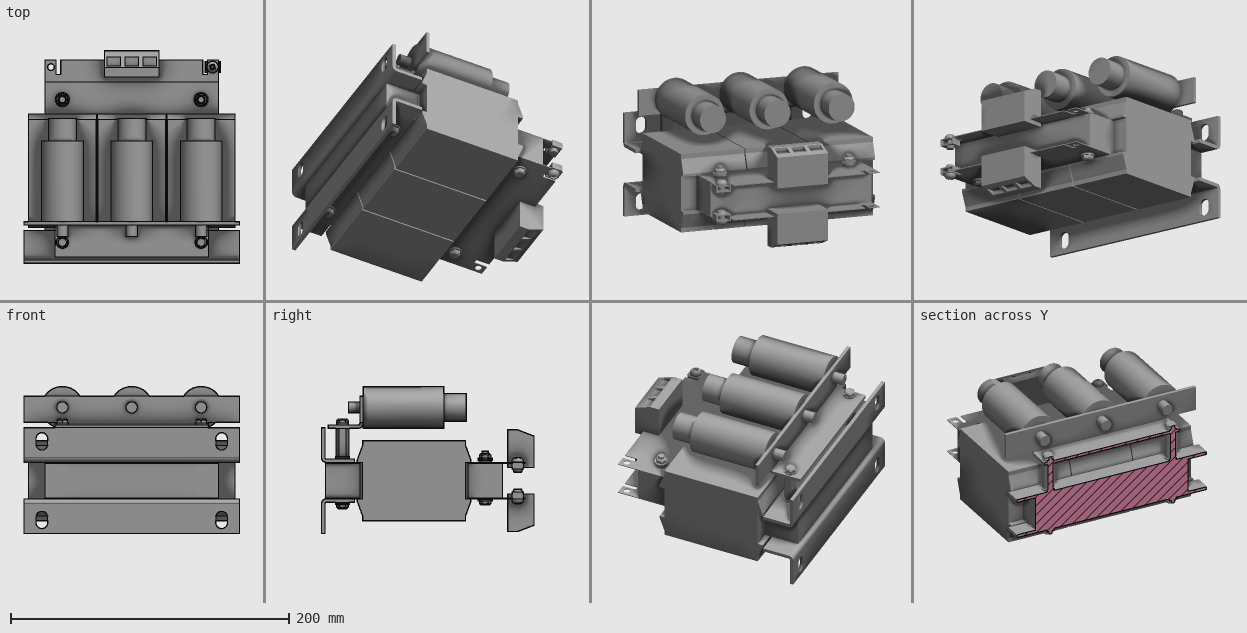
import cadquery as cq
import math


phase_pitch = 49.9
phase_places = (-phase_pitch, 0, phase_pitch)
coil_width = 49.0
coil_half_height = 28.8
coil_shoulder_height = 25.4
coil_half_length = 37.0
flange_half_length = 40.9
flange_low_height = 14.9
core_half_width = 62.3
core_half_length = 63.7
core_half_height = 12.4
channel_skin = 0.6
channel_outer = core_half_height + channel_skin
channel_web = 1.7
channel_front_setback = 0.5
channel_overlap = 0.2
channel_width = 2 * (core_half_width + channel_overlap)

tongue_end = 79.7
slit_width = 3.3
slit_depth = 10.4
slit_place = 52.7
earth_place = 58.1
earth_y = 74.5
earth_hole_diameter = 4.6

clamp_width = 11.2
clamp_length = 8.0
clamp_sheet = 1.0
clamp_bottom = 8.2
clamp_top = 13.3
screw_head_radius = 4.2
screw_head_height = 3.7
screw_crown_radius = 1.9
recess_length = 4.3
recess_width = 1.1
recess_depth = 1.5
recess_turn = 60
screw_tip_radius = 3.5
screw_tip_end_radius = 2.6
screw_tip_length = 2.2

terminal_count = 3
terminal_width = 39.5
terminal_back = 86.3
terminal_front = 67.3
terminal_bottom = 9.5
terminal_top = 36.7
terminal_back_top = 32.1
terminal_ridge = 74.2
terminal_pitch = 12.9
window_width = 9.8
window_front = 75.2
window_back = 82.0
window_floor = 33.3

bar_length = 155.0
bar_thickness = 2.6
bar_front = 66.6
bar_back_edge = 42.8
bar_reach = 38.1
bend_inner_radius = 1.0
bar_slot_place = 64.6
bar_slot_height = 28.2
bar_slot_length = 12.4
bar_slot_width = 8.2

cap_radius = 15.0
cap_height = 52.7
cap_front = 36.6
cap_back = 21.4
cap_neck_radius = 10.0
cap_neck_length = 16.3
cap_stud_radius = 4.0
bracket_thickness = 2.5
bracket_stud_end = 47.3
bracket_top = 60.8
bracket_bottom = 37.7
bracket_wing_bottom = 41.8
bracket_front_edge = 61.8
bracket_flange_width = 110.0

front_bolt_y = -51.5
rear_bolt_y = 51.2
washer_radius = 5.1
washer_seat_radius = 4.5
washer_seat = 0.6
washer_height = 1.5
hex_corner_diameter = 8.5
hex_head_height = 3.1
hex_cone_height = 1.4
hex_tip_radius = 3.0
collar_radius = 4.3
collar_height = 1.2
standoff_corner_diameter = 9.5
tooth_count = 14
tooth_width = 1.0
tooth_length = 0.5
tooth_washer_thickness = 1.9
rear_stud_radius = 2.25
rear_stud_length = 1.7


def block(x_size, y_low, y_high, z_low, z_high):
    """Box centred on X = 0 between the given Y and Z limits."""
    box = cq.Workplane("XY").box(x_size, y_high - y_low, z_high - z_low)
    return box.translate((0, (y_low + y_high) / 2, (z_low + z_high) / 2))


def rod_y(radius, y_low, y_high):
    """Cylinder along Y on the axis X = Z = 0."""
    return cq.Workplane("XZ", origin=(0, y_low, 0)).circle(radius).extrude(y_low - y_high)


def rod_z(radius, z_low, z_high):
    """Cylinder along Z on the axis X = Y = 0."""
    return cq.Workplane("XY", origin=(0, 0, z_low)).circle(radius).extrude(z_high - z_low)


def extrude_across(profile, width):
    """Extrude a YZ profile along X, centred on X = 0."""
    return profile.extrude(width / 2, both=True)


def with_below(upper):
    """Add the mirror image below the plane Z = 0."""
    return upper.union(upper.mirror("XY"))


def turned_over(shape):
    """Mirror a fastener so that it points down from Z = 0."""
    return shape.mirror("XY")


def bent_angle(width, corner_y, corner_z, flange_edge_y, web_edge_z, thickness):
    """Bent sheet with a level flange and an upright web; its outer bend is at the given corner."""
    y_way = math.copysign(1, flange_edge_y - corner_y)
    outer = bend_inner_radius + thickness
    centre_y = corner_y + y_way * outer
    centre_z = corner_z + outer
    diagonal = math.sqrt(0.5)

    def bend_middle(radius):
        return (centre_y - y_way * radius * diagonal, centre_z - radius * diagonal)

    profile = (
        cq.Workplane("YZ")
        .moveTo(flange_edge_y, corner_z)
        .lineTo(centre_y, corner_z)
        .threePointArc(bend_middle(outer), (corner_y, centre_z))
        .lineTo(corner_y, web_edge_z)
        .lineTo(corner_y + y_way * thickness, web_edge_z)
        .lineTo(corner_y + y_way * thickness, centre_z)
        .threePointArc(bend_middle(bend_inner_radius), (centre_y, corner_z + thickness))
        .lineTo(flange_edge_y, corner_z + thickness)
        .close()
    )
    return extrude_across(profile, width)


def make_coil():
    """One coil with sloping end flanges and a notch for the channel at each end."""
    quarter = [
        (coil_half_length, coil_half_height),
        (coil_half_length, coil_shoulder_height),
        (flange_half_length, flange_low_height),
        (flange_half_length, channel_outer),
        (coil_half_length, channel_outer),
    ]
    front_top = [(-y, z) for y, z in quarter]
    front_bottom = [(-y, -z) for y, z in reversed(quarter)]
    rear_bottom = [(y, -z) for y, z in quarter]
    rear_top = list(reversed(quarter))
    outline = front_top + front_bottom + rear_bottom + rear_top
    return extrude_across(cq.Workplane("YZ").polyline(outline).close(), coil_width)


def make_core_end(side, skin_end):
    """Core yoke lying in a channel; side is -1 for the front and +1 for the rear."""
    def between(width, near, far, half_height):
        low, high = sorted((side * near, side * far))
        return block(width, low, high, -half_height, half_height)

    web_end = coil_half_length + channel_web
    yoke = between(2 * core_half_width, web_end, core_half_length, core_half_height)
    channel = between(channel_width, coil_half_length, skin_end, channel_outer)
    hollow = between(channel_width, web_end, skin_end, core_half_height)
    return channel.cut(hollow).union(yoke)


def cut_tongues(body):
    """Slits beside both rear corners and an earth hole in each corner."""
    for side in (-1, 1):
        slit = block(slit_width, tongue_end - slit_depth, tongue_end, -channel_outer, channel_outer)
        hole = rod_z(earth_hole_diameter / 2, -channel_outer, channel_outer)
        body = body.cut(slit.translate((side * slit_place, 0, 0)))
        body = body.cut(hole.translate((side * earth_place, earth_y, 0)))
    return body


def make_terminal():
    """Terminal block with a sloping roof and one level-floored window per phase."""
    outline = [
        (terminal_front, terminal_bottom),
        (terminal_front, terminal_top),
        (terminal_ridge, terminal_top),
        (terminal_back, terminal_back_top),
        (terminal_back, terminal_bottom),
    ]
    terminal = extrude_across(cq.Workplane("YZ").polyline(outline).close(), terminal_width)
    window = block(window_width, window_front, window_back, window_floor, terminal_top)
    for index in range(terminal_count):
        x = (index - (terminal_count - 1) / 2) * terminal_pitch
        terminal = terminal.cut(window.translate((x, 0, 0)))
    return terminal


def make_earth_screw():
    """Domed cross-recess screw on the tongue, holding a U-shaped clamp that hangs under it."""
    half_length = clamp_length / 2
    clamp = block(clamp_width, -half_length, half_length, clamp_bottom, clamp_top)
    opening_width = clamp_width - 2 * clamp_sheet
    clamp = clamp.cut(block(opening_width, -half_length, half_length, clamp_bottom + clamp_sheet, clamp_top))

    head_top = channel_outer + screw_head_height
    dome_middle = (
        screw_crown_radius + (screw_head_radius - screw_crown_radius) * math.sqrt(0.5),
        channel_outer + screw_head_height * math.sqrt(0.5),
    )
    tip_bottom = clamp_bottom - screw_tip_length
    shank_radius = earth_hole_diameter / 2
    screw = (
        cq.Workplane("XZ")
        .moveTo(0, tip_bottom)
        .lineTo(screw_tip_end_radius, tip_bottom)
        .lineTo(screw_tip_radius, clamp_bottom)
        .lineTo(shank_radius, clamp_bottom)
        .lineTo(shank_radius, channel_outer)
        .lineTo(screw_head_radius, channel_outer)
        .threePointArc(dome_middle, (screw_crown_radius, head_top))
        .lineTo(0, head_top)
        .close()
        .revolve(360, (0, 0, 0), (0, 1, 0))
    )
    slot = cq.Workplane("XY").box(recess_length, recess_width, 2 * recess_depth)
    slot = slot.translate((0, 0, head_top)).rotate((0, 0, 0), (0, 0, 1), recess_turn)
    cross = slot.union(slot.rotate((0, 0, 0), (0, 0, 1), 90))
    return clamp.union(screw.cut(cross)).translate((earth_place, earth_y, 0))


def make_mounting_bar():
    """Upper angle bar with an upright slot near each end."""
    bar = bent_angle(bar_length, -bar_front, channel_outer, -bar_back_edge, bar_reach, bar_thickness)
    slots = (
        cq.Workplane("XZ", origin=(0, -bar_back_edge, 0))
        .pushPoints([(-bar_slot_place, bar_slot_height), (bar_slot_place, bar_slot_height)])
        .slot2D(bar_slot_length, bar_slot_width, 90)
        .extrude(bar_front)
    )
    return bar.cut(slots)


def make_bracket():
    """Capacitor bracket: a full-length upright strip with a narrower bent flange."""
    strip = block(
        bar_length, -cap_front - bracket_thickness, -cap_front, bracket_wing_bottom, bracket_top
    )
    angle = bent_angle(
        bracket_flange_width,
        -cap_front,
        bracket_bottom,
        -bracket_front_edge,
        bracket_top,
        bracket_thickness,
    )
    return strip.union(angle)


def make_capacitor():
    """Capacitor can with a rear neck and a front stud through the bracket."""
    can = rod_y(cap_radius, -cap_front, cap_back)
    neck = rod_y(cap_neck_radius, cap_back, cap_back + cap_neck_length)
    stud = rod_y(cap_stud_radius, -bracket_stud_end, -cap_front)
    return can.union(neck).union(stud).translate((0, 0, cap_height))


def hex_rod(corner_diameter, z_low, z_high):
    """Hexagonal rod along Z with two corners on the Y axis."""
    rod = cq.Workplane("XY", origin=(0, 0, z_low)).polygon(6, corner_diameter)
    return rod.extrude(z_high - z_low).rotate((0, 0, 0), (0, 0, 1), 90)


def hex_head(z_low):
    """Hexagonal head whose free end is turned to a cone."""
    z_high = z_low + hex_head_height
    corner_radius = hex_corner_diameter / 2
    cone_base = z_high - hex_cone_height
    envelope = (
        cq.Workplane("XZ")
        .moveTo(0, z_low)
        .lineTo(corner_radius, z_low)
        .lineTo(corner_radius, cone_base)
        .lineTo(hex_tip_radius, z_high)
        .lineTo(0, z_high)
        .close()
        .revolve(360, (0, 0, 0), (0, 1, 0))
    )
    return hex_rod(hex_corner_diameter, z_low, z_high).intersect(envelope)


def make_washer():
    """Washer standing on a slightly smaller seat."""
    seat = rod_z(washer_seat_radius, 0, washer_seat)
    return seat.union(rod_z(washer_radius, washer_seat, washer_height))


def make_toothed_washer():
    """Plain washer with a toothed lock washer on top of it."""
    top = washer_height + tooth_washer_thickness
    washer = rod_z(washer_seat_radius, 0, washer_height)
    lock = rod_z(washer_radius, washer_height, top)
    gap = cq.Workplane("XY").box(2 * tooth_length, tooth_width, top)
    gap = gap.translate((washer_radius, 0, washer_height + top / 2))
    for index in range(tooth_count):
        lock = lock.cut(gap.rotate((0, 0, 0), (0, 0, 1), index * 360 / tooth_count))
    return washer.union(lock)


def make_bolt_end():
    """Washer and hexagonal head rising from Z = 0."""
    return make_washer().union(hex_head(washer_height))


def make_front_bolt():
    """Standoff between bar and bracket, a head on the bracket and a head under the lower bar."""
    bar_face = channel_outer + bar_thickness
    bracket_face = bracket_bottom + bracket_thickness
    washer = make_washer().translate((0, 0, bar_face))
    standoff = hex_rod(standoff_corner_diameter, bar_face + washer_height, bracket_bottom)
    collar = rod_z(collar_radius, 0, collar_height)
    top = collar.union(hex_head(collar_height)).translate((0, 0, bracket_face))
    bottom = turned_over(make_bolt_end()).translate((0, 0, -bar_face))
    return washer.union(standoff).union(top).union(bottom)


def make_rear_bolt():
    """Toothed washer, nut and stud end above the core, and a head below it."""
    nut_base = washer_height + tooth_washer_thickness
    nut_top = nut_base + hex_head_height
    stud = rod_z(rear_stud_radius, nut_base, nut_top + rear_stud_length)
    top = make_toothed_washer().union(hex_head(nut_base)).union(stud)
    bottom = turned_over(make_bolt_end())
    return top.translate((0, 0, channel_outer)).union(bottom.translate((0, 0, -channel_outer)))


result = make_core_end(-1, core_half_length - channel_front_setback)
result = result.union(cut_tongues(make_core_end(1, tongue_end)))
coil = make_coil()
for x in phase_places:
    result = result.union(coil.translate((x, 0, 0)))

for feature in (make_mounting_bar(), make_terminal(), make_earth_screw()):
    result = result.union(with_below(feature))

result = result.union(make_bracket())
capacitor = make_capacitor()
for x in phase_places:
    result = result.union(capacitor.translate((x, 0, 0)))

front_bolt = make_front_bolt()
rear_bolt = make_rear_bolt()
for x in (-phase_pitch, phase_pitch):
    result = result.union(front_bolt.translate((x, front_bolt_y, 0)))
    result = result.union(rear_bolt.translate((x, rear_bolt_y, 0)))